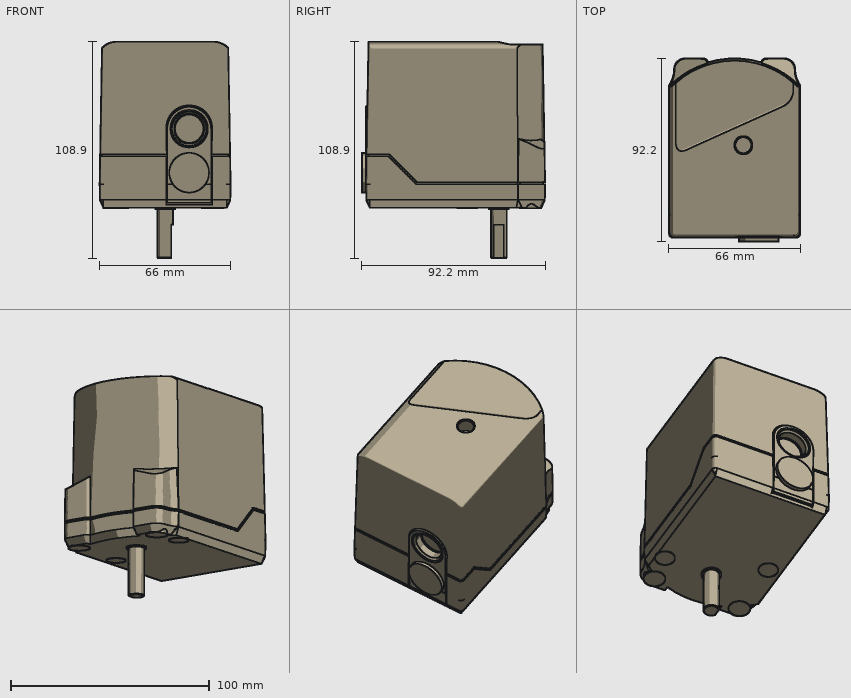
import cadquery as cq
import math


half_width = 33.0
front_y = -66.9
rear_y = 23.3
rear_corner_y = 9.6
parting_z = 12.0
top_z = 83.6
chamfer_top_z = 4.0
chamfer_inset = 1.9
draft_deg = 1.0
corner_radius = 2.0
rim_fillet = 0.5

shoulder_radius = 10.0
top_flat_half_width = 24.4
top_step = 1.4
step_left = (-29.6, -19.6)
step_right = (29.6, 7.1)

lug_top_z = 34.6
lug_tilt_deg = 31.0
lug_tilt_heading_deg = 30.0
lug_side_x = 30.5
lug_outer_radius = 5.6
lug_inner_radius = 2.6
lug_inner_x = 13.3
lug_flank_y = 11.0
lug_flank_deg = 29.0

groove_width = 1.0
groove_depth = 1.0
groove_front_z = 26.0
groove_front_y = -55.6
groove_ramp_deg = 45.0

panel_x = 12.1
panel_radius = 11.5
panel_rise = 1.0
panel_face_y = -67.0
panel_gap = 0.5
panel_bottom_z = 1.6
panel_bottom_gap = 0.9
port_z = 39.8
port_mouth_diameter = 18.9
port_cone_diameter = 17.3
port_diameter = 15.2
port_floor_diameter = 14.3
port_rim_depth = 0.3
port_cone_depth = 1.1
port_depth = 6.0
plug_z = 17.7
plug_diameter = 20.0
plug_face_y = -68.86

top_hole_xy = (4.4, -20.4)
top_hole_diameter = 8.0
top_hole_mouth = 9.2
top_hole_depth = 8.0

shaft_diameter = 8.0
shaft_end_z = -25.3
shaft_chamfer = 0.4
flat_x = 3.1
flat_top_z = -8.4
collar_diameter = 10.04
collar_height = 0.6
pad_height = 0.3
pads = [(-24.0, 15.9, 11.0), (24.0, 15.9, 11.0), (24.0, -15.9, 10.0), (-26.2, 0.0, 10.0)]

bevel_deg = 45.0
slack = 5.0
arc_mid_inset = 1 - math.sqrt(0.5)
wall_lean = math.tan(math.radians(draft_deg))
rear_sagitta = rear_y - rear_corner_y
rear_radius = (half_width ** 2 + rear_sagitta ** 2) / (2 * rear_sagitta)
chamfer_taper_deg = math.degrees(math.atan2(chamfer_inset, chamfer_top_z))


def housing_outline(plane, front_radius):
    """Housing outline with its front corners rounded to front_radius, or sharp if that is 0."""
    rear = plane.moveTo(half_width, rear_corner_y).threePointArc(
        (0, rear_y), (-half_width, rear_corner_y)
    )
    if front_radius == 0:
        return rear.lineTo(-half_width, front_y).lineTo(half_width, front_y).close()
    diagonal = front_radius * arc_mid_inset
    return (
        rear.lineTo(-half_width, front_y + front_radius)
        .threePointArc(
            (-half_width + diagonal, front_y + diagonal), (-half_width + front_radius, front_y)
        )
        .lineTo(half_width - front_radius, front_y)
        .threePointArc(
            (half_width - diagonal, front_y + diagonal), (half_width, front_y + front_radius)
        )
        .close()
    )


def lug_outline(plane, side):
    """Closed lug outline on one side (-1 left, 1 right); its inner edges lie in the housing."""
    flank_angle = math.radians(lug_flank_deg)
    outer_start = (side * lug_side_x, rear_y - lug_outer_radius)
    flank_radius = (outer_start[1] - lug_flank_y) / math.sin(flank_angle)

    def flank_point(angle):
        x = lug_side_x + flank_radius * (1 - math.cos(angle))
        return (side * x, outer_start[1] - flank_radius * math.sin(angle))

    outer_end = (side * (lug_side_x - lug_outer_radius), rear_y)
    inner_start = (side * (lug_inner_x + lug_inner_radius), rear_y)
    inner_end = (side * lug_inner_x, rear_y - lug_inner_radius)
    outer_mid = (
        side * (lug_side_x - lug_outer_radius * arc_mid_inset),
        rear_y - lug_outer_radius * arc_mid_inset,
    )
    inner_mid = (
        side * (lug_inner_x + lug_inner_radius * arc_mid_inset),
        rear_y - lug_inner_radius * arc_mid_inset,
    )
    return (
        plane.moveTo(side * half_width, rear_corner_y)
        .lineTo(*flank_point(flank_angle))
        .threePointArc(flank_point(flank_angle / 2), outer_start)
        .threePointArc(outer_mid, outer_end)
        .lineTo(*inner_start)
        .threePointArc(inner_mid, inner_end)
        .lineTo(side * lug_inner_x, rear_corner_y)
        .close()
    )


def upper_block(outline, *args):
    """Outline drafted inwards from the parting level to the top."""
    parting = cq.Workplane("XY", origin=(0, 0, parting_z))
    return outline(parting, *args).extrude(top_z - parting_z, taper=draft_deg)


def lower_block(outline, *args):
    """Outline drafted inwards below the parting level, then chamfered to the underside."""
    base_height = parting_z - chamfer_top_z
    parting = cq.Workplane("XY", origin=(0, 0, parting_z))
    base = outline(parting, *args).extrude(-base_height, taper=draft_deg)
    chamfer_plane = cq.Workplane("XY", origin=(0, 0, chamfer_top_z))
    foot = (
        outline(chamfer_plane, *args)
        .offset2D(-base_height * wall_lean)
        .extrude(-chamfer_top_z, taper=chamfer_taper_deg)
    )
    return base.union(foot)


def inset(outline):
    """The same outline drawn further inside by the groove depth."""
    def inset_outline(plane, *args):
        return outline(plane, *args).offset2D(-groove_depth)
    return inset_outline


def shoulder_envelope():
    """Bar along Y whose section is the flat top with its rounded shoulders."""
    run = half_width - top_flat_half_width
    drop = shoulder_radius - math.sqrt(shoulder_radius ** 2 - run ** 2)
    mid_run = run / 2
    mid_drop = shoulder_radius - math.sqrt(shoulder_radius ** 2 - mid_run ** 2)
    mid_x = top_flat_half_width + mid_run
    edge_z = top_z - drop
    return (
        cq.Workplane("XZ", origin=(0, rear_y + slack, 0))
        .moveTo(-half_width, -slack)
        .lineTo(-half_width, edge_z)
        .threePointArc((-mid_x, top_z - mid_drop), (-top_flat_half_width, top_z))
        .lineTo(top_flat_half_width, top_z)
        .threePointArc((mid_x, top_z - mid_drop), (half_width, edge_z))
        .lineTo(half_width, -slack)
        .close()
        .extrude(rear_y - front_y + 2 * slack)
    )


def step_cutter():
    """Removes the rear of the top; its front flank is concave, tangent to the lowered floor."""
    dx = step_right[0] - step_left[0]
    dy = step_right[1] - step_left[1]
    length = math.hypot(dx, dy)
    along = (dx / length, dy / length, 0)
    floor_z = top_z - top_step
    section = cq.Plane(
        origin=(step_left[0] - slack * along[0], step_left[1] - slack * along[1], floor_z),
        xDir=(-along[1], along[0], 0),
        normal=along,
    )
    run = math.sqrt(shoulder_radius ** 2 - (shoulder_radius - top_step) ** 2)
    mid_run = run / 2
    mid_rise = shoulder_radius - math.sqrt(shoulder_radius ** 2 - mid_run ** 2)
    reach = 2 * half_width
    return (
        cq.Workplane(section)
        .moveTo(0, 0)
        .threePointArc((-mid_run, mid_rise), (-run, top_step))
        .lineTo(-run, top_step + slack)
        .lineTo(reach, top_step + slack)
        .lineTo(reach, 0)
        .close()
        .extrude(length + 2 * slack)
    )


def make_housing(outline):
    upper = upper_block(outline, 0).faces("<Y").edges("not |X").fillet(corner_radius)
    upper = upper.intersect(shoulder_envelope())
    upper = upper.faces("<Y").edges(">Z").fillet(rim_fillet)
    return upper.union(lower_block(outline, corner_radius))


def make_lug(outline, side):
    heading = math.radians(lug_tilt_heading_deg)
    tilt = math.radians(lug_tilt_deg)
    normal = (
        side * math.sin(heading) * math.sin(tilt),
        math.cos(heading) * math.sin(tilt),
        math.cos(tilt),
    )
    corner = (side * half_width, rear_corner_y, lug_top_z)
    size = 3 * half_width
    above = cq.Workplane(cq.Plane(origin=corner, normal=normal)).rect(size, size).extrude(size)
    return upper_block(outline, side).cut(above).union(lower_block(outline, side))


def make_shell(wrap=lambda outline: outline):
    """Housing with both lugs, each outline passed through wrap."""
    shell = make_housing(wrap(housing_outline))
    for side in (-1, 1):
        shell = shell.union(make_lug(wrap(lug_outline), side))
    return shell


def joint_band():
    """Groove round the housing: level at the rear, with a ramp up to the front stretch."""
    rise = groove_front_z - parting_z
    ramp_shift = groove_width * math.tan(math.radians(groove_ramp_deg / 2))
    ramp_foot_y = groove_front_y + rise / math.tan(math.radians(groove_ramp_deg))
    return (
        cq.Workplane("YZ", origin=(-half_width - slack, 0, 0))
        .moveTo(rear_y + slack, parting_z)
        .lineTo(ramp_foot_y, parting_z)
        .lineTo(groove_front_y, groove_front_z)
        .lineTo(front_y - slack, groove_front_z)
        .lineTo(front_y - slack, groove_front_z + groove_width)
        .lineTo(groove_front_y + ramp_shift, groove_front_z + groove_width)
        .lineTo(ramp_foot_y + ramp_shift, parting_z + groove_width)
        .lineTo(rear_y + slack, parting_z + groove_width)
        .close()
        .extrude(2 * (half_width + slack))
    )


def front_plane(y):
    """Plane facing the front at Y = y, with x to the right and y up."""
    return cq.Workplane("XZ", origin=(0, y, 0))


def keyhole(y, radius, bottom_z):
    """Round-topped panel outline at Y = y."""
    return (
        front_plane(y)
        .moveTo(panel_x - radius, bottom_z)
        .lineTo(panel_x - radius, port_z)
        .threePointArc((panel_x, port_z + radius), (panel_x + radius, port_z))
        .lineTo(panel_x + radius, bottom_z)
        .close()
    )


def make_grooves():
    """Joint groove and the gap round the lower panel, both of even depth below the walls."""
    panel_height = groove_front_z + groove_width - panel_bottom_z
    start_y = front_y + 2 * slack
    reach = 3 * slack
    recess = (
        front_plane(start_y)
        .center(panel_x, panel_bottom_z + panel_height / 2)
        .rect(2 * panel_radius, panel_height)
        .extrude(reach)
    )
    panel_foot_z = panel_bottom_z + panel_bottom_gap
    panel = keyhole(start_y, panel_radius - panel_gap, panel_foot_z).extrude(reach)
    return joint_band().union(recess).cut(panel).cut(make_shell(inset))


def make_panel():
    """Raised round-topped pad with a bevelled rim, and its flush continuation below the joint."""
    face_radius = panel_radius - panel_gap
    rim_y = panel_face_y + panel_rise
    pad = keyhole(rim_y, face_radius + panel_rise, groove_front_z + groove_width).extrude(
        panel_rise, taper=bevel_deg
    )
    lower = keyhole(rim_y, face_radius, parting_z).extrude(panel_rise)
    return pad.union(lower)


def make_port():
    """Blind round port with a bevelled rim, a conical mouth and a bevelled floor."""
    floor_bevel = (port_diameter - port_floor_diameter) / 2
    return (
        cq.Workplane("XY", origin=(panel_x, panel_face_y, port_z))
        .moveTo(0, -slack)
        .lineTo(port_mouth_diameter / 2, -slack)
        .lineTo(port_mouth_diameter / 2, 0)
        .lineTo(port_cone_diameter / 2, port_rim_depth)
        .lineTo(port_diameter / 2, port_rim_depth + port_cone_depth)
        .lineTo(port_diameter / 2, port_depth - floor_bevel)
        .lineTo(port_floor_diameter / 2, port_depth)
        .lineTo(0, port_depth)
        .close()
        .revolve(360, (0, 0, 0), (0, 1, 0))
    )


def make_plug():
    start_y = front_y + slack
    return (
        front_plane(start_y)
        .center(panel_x, plug_z)
        .circle(plug_diameter / 2)
        .extrude(start_y - plug_face_y)
    )


def make_top_hole():
    bevel = (top_hole_mouth - top_hole_diameter) / 2
    hole = (
        cq.Workplane("XY", origin=(*top_hole_xy, top_z - top_hole_depth))
        .circle(top_hole_diameter / 2)
        .extrude(top_hole_depth)
    )
    mouth = (
        cq.Workplane("XY", origin=(*top_hole_xy, top_z))
        .circle(top_hole_mouth / 2)
        .extrude(-bevel, taper=bevel_deg)
    )
    return hole.union(mouth)


def make_shaft():
    """Shaft with its flat, and the collar where it leaves the underside."""
    root_z = chamfer_top_z
    shaft = (
        cq.Workplane("XY", origin=(0, 0, root_z))
        .circle(shaft_diameter / 2)
        .extrude(shaft_end_z - root_z)
        .faces("<Z")
        .chamfer(shaft_chamfer)
    )
    flat_height = flat_top_z - shaft_end_z
    flat_cut = cq.Workplane("XY").box(
        shaft_diameter, 2 * shaft_diameter, flat_height, centered=(False, True, False)
    )
    shaft = shaft.cut(flat_cut.translate((flat_x, 0, shaft_end_z)))
    collar = (
        cq.Workplane("XY", origin=(0, 0, root_z))
        .circle(collar_diameter / 2)
        .extrude(-root_z - collar_height)
    )
    return shaft.union(collar)


def make_pad(x, y, diameter):
    root_z = chamfer_top_z / 2
    return (
        cq.Workplane("XY", origin=(x, y, root_z))
        .circle(diameter / 2)
        .extrude(-root_z - pad_height)
    )


result = make_shell().cut(step_cutter())
result = result.cut(make_grooves())
result = result.union(make_panel()).cut(make_port()).union(make_plug())
result = result.cut(make_top_hole()).union(make_shaft())
for pad in pads:
    result = result.union(make_pad(*pad))